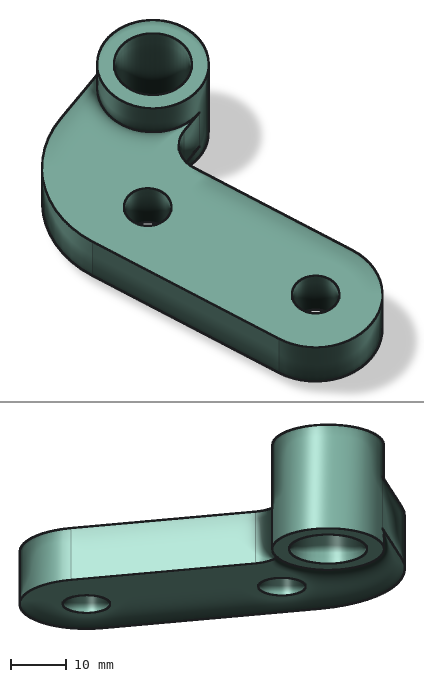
import cadquery as cq
import math

length = 72.0
depth = 45.0

boss_diameter = 20.0
boss_height = boss_diameter
bore_diameter = 14.0
boss_radius = boss_diameter / 2
boss_x = boss_radius
boss_y = depth - boss_radius

plate_bottom = 3.0
plate_thickness = 10.0
arm_width = 24.0
outer_corner_radius = 20.0
inner_corner_radius = 6.0
end_radius = arm_width / 2

hole_diameter = 8.5
hole_spacing = 36.0
end_hole_x = length - end_radius


def make_plate():
    """L-shaped plate with a round arm end, reaching up to the boss centre line."""
    corner_mid = outer_corner_radius * (1 - math.sqrt(0.5))
    inner_mid = inner_corner_radius * (1 - math.sqrt(0.5))
    return (
        cq.Workplane("XY", origin=(0, 0, plate_bottom))
        .moveTo(outer_corner_radius, 0)
        .lineTo(end_hole_x, 0)
        .threePointArc((length, end_radius), (end_hole_x, arm_width))
        .lineTo(boss_diameter + inner_corner_radius, arm_width)
        .threePointArc(
            (boss_diameter + inner_mid, arm_width + inner_mid),
            (boss_diameter, arm_width + inner_corner_radius),
        )
        .lineTo(boss_diameter, boss_y)
        .lineTo(0, boss_y)
        .lineTo(0, outer_corner_radius)
        .threePointArc((corner_mid, corner_mid), (outer_corner_radius, 0))
        .close()
        .extrude(plate_thickness)
    )


def vertical_cylinder(points, diameter):
    """Full-height cylinders standing on the boss's lower face plane."""
    return cq.Workplane("XY").pushPoints(points).circle(diameter / 2).extrude(boss_height)


boss_centre = [(boss_x, boss_y)]
hole_centres = [(end_hole_x - hole_spacing, end_radius), (end_hole_x, end_radius)]

result = (
    make_plate()
    .union(vertical_cylinder(boss_centre, boss_diameter))
    .cut(vertical_cylinder(boss_centre, bore_diameter))
    .cut(vertical_cylinder(hole_centres, hole_diameter))
)